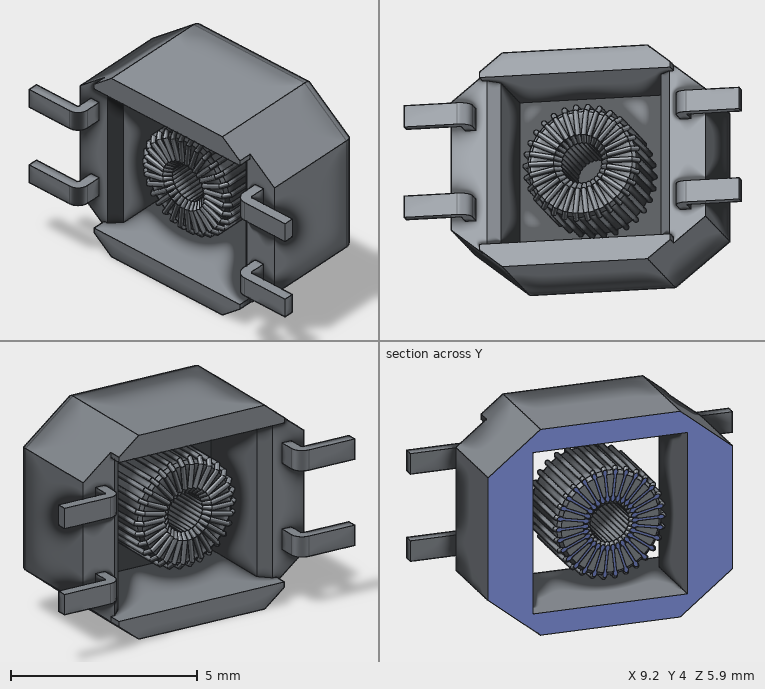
import cadquery as cq

housing_width = 6.99
housing_height = 5.9
flat_width = 3.99
flat_height = 3.51
housing_back = 4.0
lip_front = 0.4
wall_front = 0.81
lip_width = 5.24
back_fillet = 0.3

cavity_width = 4.4
cavity_height = 4.6
cavity_chamfer = 0.3
cavity_floor = 3.4

lead_span = 9.2
lead_thickness = 0.29
lead_height = 0.59
lead_pitch = 2.49
lead_post_spacing = 5.61
lead_bend_radius = 0.34
lead_inner_radius = 0.05

core_outer_radius = 1.49
core_bore_radius = 0.67
core_chamfer = 0.09
core_front = 1.17
turn_count = 30
wire_radius = 0.069
wire_embed = 0.01
wire_offset = wire_radius - wire_embed
core_back = cavity_floor - wire_offset - wire_radius


def extrude_along_y(outline, start, end):
    """Extrude a closed XZ outline between two Y positions."""
    return outline.extrude(start - end).translate((0, start, 0))


def housing_block():
    """Octagonal block with a rounded back and lips past the side walls."""
    half_w = housing_width / 2
    half_h = housing_height / 2
    flat_x = flat_width / 2
    flat_z = flat_height / 2
    outline = cq.Workplane("XZ").polyline([
        (half_w, flat_z), (flat_x, half_h), (-flat_x, half_h), (-half_w, flat_z),
        (-half_w, -flat_z), (-flat_x, -half_h), (flat_x, -half_h), (half_w, -flat_z),
    ]).close()
    block = extrude_along_y(outline, lip_front, housing_back)
    block = block.faces(">Y").edges().fillet(back_fillet)
    side_width = (housing_width - lip_width) / 2
    step_depth = wall_front - lip_front
    for side in (-1, 1):
        side_step = cq.Workplane("XY").box(side_width, step_depth, housing_height).translate(
            (side * (lip_width + side_width) / 2, lip_front + step_depth / 2, 0))
        block = block.cut(side_step)
    return block


def cavity():
    """Opening between the lips, flared at the front edges of the side walls."""
    half_w = cavity_width / 2
    mouth_half_w = half_w + cavity_chamfer
    lip_half_w = lip_width / 2
    profile = cq.Workplane("XY").polyline([
        (-lip_half_w, lip_front), (-lip_half_w, wall_front), (-mouth_half_w, wall_front),
        (-half_w, wall_front + cavity_chamfer), (-half_w, cavity_floor),
        (half_w, cavity_floor), (half_w, wall_front + cavity_chamfer),
        (mouth_half_w, wall_front), (lip_half_w, wall_front), (lip_half_w, lip_front),
    ]).close()
    return profile.extrude(cavity_height / 2, both=True)


def lead(side, z):
    """L-shaped gull-wing lead that runs outward along the mounting plane."""
    tip = lead_span / 2
    post_inner = lead_post_spacing / 2
    post_outer = post_inner + lead_thickness
    profile = cq.Workplane("XY").polyline([
        (tip, 0), (post_inner, 0), (post_inner, wall_front), (post_outer, wall_front),
        (post_outer, lead_thickness), (tip, lead_thickness),
    ]).close()
    bar = profile.extrude(lead_height / 2, both=True)
    heel = cq.selectors.NearestToPointSelector((post_inner, 0, 0))
    bar = bar.edges("|Z").edges(heel).fillet(lead_bend_radius)
    inside = cq.selectors.NearestToPointSelector((post_outer, lead_thickness, 0))
    bar = bar.edges("|Z").edges(inside).fillet(lead_inner_radius)
    if side < 0:
        bar = bar.mirror("YZ")
    return bar.translate((0, 0, z))


def build_housing():
    """Housing with its four leads, one solid."""
    body = housing_block().cut(cavity())
    for side in (-1, 1):
        for row in (-1, 1):
            body = body.union(lead(side, row * lead_pitch / 2))
    return body.solids().val()


def build_core():
    """Chamfered ring around the Y axis."""
    ring = cq.Workplane("XZ").circle(core_outer_radius).circle(core_bore_radius)
    return extrude_along_y(ring, core_front, core_back).edges().chamfer(core_chamfer)


def wire_turn():
    """One closed turn in the +X half of the XY plane, following the core section."""
    corner = core_chamfer + wire_offset
    inner = core_bore_radius - wire_offset
    outer = core_outer_radius + wire_offset
    front = core_front - wire_offset
    back = core_back + wire_offset
    middle = (front + back) / 2
    path = cq.Workplane("XY").polyline([
        (outer, middle), (outer, back - corner), (outer - corner, back),
        (inner + corner, back), (inner, back - corner), (inner, front + corner),
        (inner + corner, front), (outer - corner, front), (outer, front + corner),
    ]).close()
    plane = cq.Plane(origin=(outer, middle, 0), xDir=(-1, 0, 0), normal=(0, 1, 0))
    section = cq.Workplane(plane).circle(wire_radius)
    return section.sweep(path, transition="right")


def build_coil():
    """Core with its winding, one solid."""
    turn = wire_turn()
    step = 360 / turn_count
    turns = [turn.rotate((0, 0, 0), (0, 1, 0), index * step).val() for index in range(turn_count)]
    return build_core().val().fuse(*turns).Solids()[0]


housing = build_housing()
coil = build_coil()
result = cq.Compound.makeCompound([housing, coil])